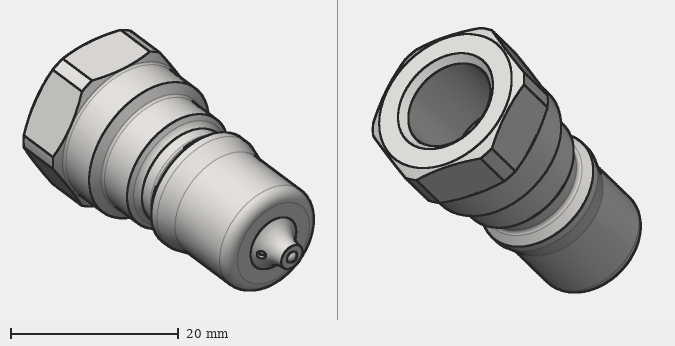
import cadquery as cq
import math

TOTAL_LENGTH = 38.95

HEX_ACROSS_FLATS = 19.0
HEX_CORNER_RADIUS = 10.497
HEX_FACE_RADIUS = 9.2
HEX_FRONT_CHAMFER = 0.7
HEX_BACK_CHAMFER_START = 6.25
HEX_END = 6.8
HEX_END_RADIUS = 9.45

COLLAR_RADIUS = 9.25
COLLAR_START = 7.13
COLLAR_END = 11.53
COLLAR_TAPER_END = 12.3
COLLAR_TAPER_END_RADIUS = 8.02
LAND_RADIUS = 7.8
LAND_START = 12.65
LAND_END = 16.9
GROOVE_RADIUS = 6.5
GROOVE_ENTRY = 17.35
GROOVE_ENTRY_RADIUS = 7.13
GROOVE_FLOOR_START = 18.15
GROOVE_FLOOR_END = 19.7
GROOVE_EXIT = 20.4
GROOVE_EXIT_RADIUS = 6.85
RIM_START = 21.45
RIM_END = 22.55
PLUG_RADIUS = 7.05
PLUG_START = 25.05
PLUG_END = 34.98
PLUG_EDGE_FILLET = 1.5

NOSE_END = 38.45
NOSE_TIP_RADIUS = 1.65
NOSE_FLARE_RADIUS = 4.13
BALL_RADIUS = 0.8

VENT_POSITION = 35.85
VENT_RADIUS = 0.55
VENT_DEPTH = 0.65

BORE_RADIUS = 5.7
BORE_MOUTH_RADIUS = 6.6
BORE_DEPTH = 11.7


def flare_radius(x):
    """Radius of the nose flare, an arc that runs level with the axis at the tip."""
    drop = math.sqrt(NOSE_FLARE_RADIUS**2 - (NOSE_END - x) ** 2)
    return NOSE_TIP_RADIUS + NOSE_FLARE_RADIUS - drop


def revolve_about_x(profile):
    return profile.close().revolve(360, (0, 0, 0), (1, 0, 0))


def make_hexagon():
    corner_diameter = HEX_ACROSS_FLATS / math.cos(math.pi / 6)
    prism = cq.Workplane("YZ").polygon(6, corner_diameter).extrude(HEX_END)
    turned_limit = revolve_about_x(
        cq.Workplane("XY")
        .moveTo(0, 0)
        .lineTo(0, HEX_FACE_RADIUS)
        .lineTo(HEX_FRONT_CHAMFER, HEX_CORNER_RADIUS)
        .lineTo(HEX_BACK_CHAMFER_START, HEX_CORNER_RADIUS)
        .lineTo(HEX_END, HEX_END_RADIUS)
        .lineTo(HEX_END, 0)
    )
    return prism.intersect(turned_limit)


def make_body():
    root_length = COLLAR_START - HEX_END
    root_rise = HEX_END_RADIUS - COLLAR_RADIUS
    root_radius = (root_length**2 + root_rise**2) / (2 * root_rise)
    root_angle = math.asin(root_length / root_radius) / 2
    root_middle = (
        COLLAR_START - root_radius * math.sin(root_angle),
        COLLAR_RADIUS + root_radius * (1 - math.cos(root_angle)),
    )
    flare_middle = (PLUG_END + NOSE_END) / 2
    ball_center = TOTAL_LENGTH - BALL_RADIUS
    ball_edge_angle = math.acos((NOSE_END - ball_center) / BALL_RADIUS)
    ball_edge_radius = BALL_RADIUS * math.sin(ball_edge_angle)
    ball_middle = (
        ball_center + BALL_RADIUS * math.cos(ball_edge_angle / 2),
        BALL_RADIUS * math.sin(ball_edge_angle / 2),
    )
    return revolve_about_x(
        cq.Workplane("XY")
        .moveTo(HEX_END, 0)
        .lineTo(HEX_END, HEX_END_RADIUS)
        .threePointArc(root_middle, (COLLAR_START, COLLAR_RADIUS))
        .lineTo(COLLAR_END, COLLAR_RADIUS)
        .lineTo(COLLAR_TAPER_END, COLLAR_TAPER_END_RADIUS)
        .tangentArcPoint((LAND_START, LAND_RADIUS), relative=False)
        .lineTo(LAND_END, LAND_RADIUS)
        .lineTo(GROOVE_ENTRY, GROOVE_ENTRY_RADIUS)
        .tangentArcPoint((GROOVE_FLOOR_START, GROOVE_RADIUS), relative=False)
        .lineTo(GROOVE_FLOOR_END, GROOVE_RADIUS)
        .tangentArcPoint((GROOVE_EXIT, GROOVE_EXIT_RADIUS), relative=False)
        .lineTo(RIM_START, LAND_RADIUS)
        .lineTo(RIM_END, LAND_RADIUS)
        .lineTo(PLUG_START, PLUG_RADIUS)
        .lineTo(PLUG_END - PLUG_EDGE_FILLET, PLUG_RADIUS)
        .tangentArcPoint((PLUG_EDGE_FILLET, -PLUG_EDGE_FILLET))
        .lineTo(PLUG_END, flare_radius(PLUG_END))
        .threePointArc((flare_middle, flare_radius(flare_middle)), (NOSE_END, NOSE_TIP_RADIUS))
        .lineTo(NOSE_END, ball_edge_radius)
        .threePointArc(ball_middle, (TOTAL_LENGTH, 0))
    )


def make_vent():
    slope = math.asin((NOSE_END - VENT_POSITION) / NOSE_FLARE_RADIUS)
    mouth = cq.Vector(VENT_POSITION, -flare_radius(VENT_POSITION), 0)
    inward = cq.Vector(-math.sin(slope), math.cos(slope), 0)
    start = mouth - inward * VENT_DEPTH
    return cq.Workplane(cq.Solid.makeCylinder(VENT_RADIUS, 2 * VENT_DEPTH, start, inward))


def make_bore():
    chamfer = BORE_MOUTH_RADIUS - BORE_RADIUS
    return revolve_about_x(
        cq.Workplane("XY")
        .moveTo(0, 0)
        .lineTo(0, BORE_MOUTH_RADIUS)
        .lineTo(chamfer, BORE_RADIUS)
        .lineTo(BORE_DEPTH, BORE_RADIUS)
        .lineTo(BORE_DEPTH, 0)
    )


result = make_hexagon().union(make_body()).cut(make_vent()).cut(make_bore())